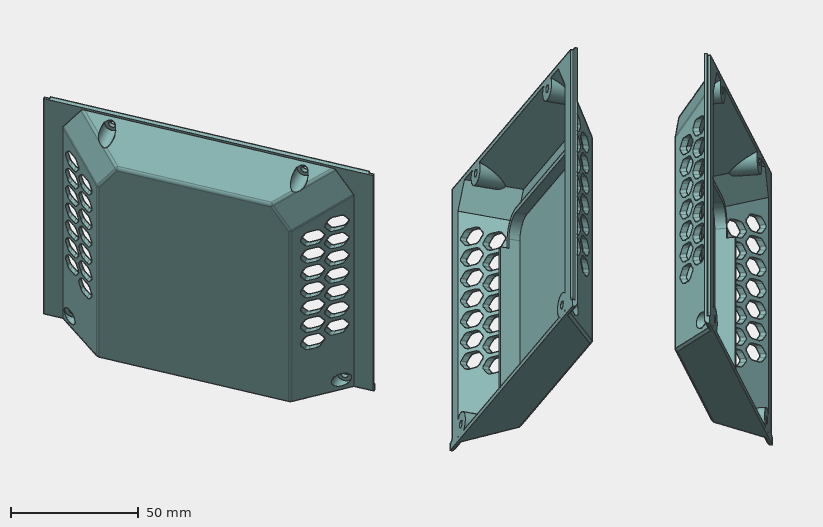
import cadquery as cq
import math

plate_width = 137.0
plate_height = 113.0
plate_thickness = 2.0
plate_face_y = -plate_thickness

total_depth = 19.0
side_base_x = 60.5
side_angle = 39.8
top_base_z = 112.0
top_angle = 57.5
corner_base_z = 100.6
corner_turn = 35.0
corner_angle = 36.4
wall = 2.0
edge_radius = 2.0
bottom_chamfer = 1.0

rabbet_width = 2.2
rabbet_depth = 1.0
rabbet_bottom_z = 3.0
rabbet_radius = 2.0

hexagon_ratio = math.cos(math.pi / 6)
vent_flats = 7.2
vent_corner_radius = 1.6
vent_pitch = 9.0
vents_per_column = 7
outer_column_x = 55.0
outer_column_bottom_z = 34.0
column_spacing = vent_pitch * hexagon_ratio

screw_spots = [(40.0, 108.0), (56.5, 6.0)]
screw_diameter = 3.0
head_diameter = 6.4
boss_diameter = 10.0

rib_half_width = 38.0
rib_top_z = 89.5
rib_corner_radius = 10.0
rib_thickness = 2.0
rib_edge_y = -12.4
leg_edge_y = -9.0
leg_top_z = 75.5

tolerance = 0.01


def box(x_range, y_range, z_range):
    """Box between pairs of limits along each axis."""
    size = [high - low for low, high in (x_range, y_range, z_range)]
    start = (x_range[0], y_range[0], z_range[0])
    return cq.Workplane("XY").box(*size, centered=False).translate(start)


def prism_y(outline, y_from, y_to):
    """Extrude a closed outline drawn on the XZ plane between two depths."""
    return outline.extrude(y_from - y_to).translate((0, y_from, 0))


def cut_beyond(body, point, turn, slope, inset):
    """Remove what lies outside a leaning plane.

    The plane passes through `point`, faces `turn` degrees up from +X and makes
    `slope` degrees with the front wall. It is shifted inwards by `inset`.
    """
    turn = math.radians(turn)
    slope = math.radians(slope)
    normal = cq.Vector(
        math.sin(slope) * math.cos(turn), -math.cos(slope), math.sin(slope) * math.sin(turn)
    )
    origin = cq.Vector(*point) - normal * inset
    along = cq.Vector(-math.sin(turn), 0, math.cos(turn))
    reach = 2 * plate_width
    cutter = cq.Workplane(cq.Plane(origin, along, normal)).rect(reach, reach).extrude(reach)
    return body.cut(cutter)


def hood_block(inset, back_y):
    """Solid bounded by the hood faces, all moved inwards by `inset`."""
    block = box(
        (-plate_width / 2, plate_width / 2), (inset - total_depth, back_y), (inset, plate_height)
    )
    block = cut_beyond(block, (0, plate_face_y, top_base_z), 90, top_angle, inset)
    for side in (1, -1):
        face_turn = 0 if side > 0 else 180
        facet_turn = corner_turn if side > 0 else 180 - corner_turn
        base_x = side * side_base_x
        block = cut_beyond(block, (base_x, plate_face_y, 0), face_turn, side_angle, inset)
        block = cut_beyond(
            block, (base_x, plate_face_y, corner_base_z), facet_turn, corner_angle, inset
        )
    return block


def outer_hood():
    """Hood block with its outer edges rounded, except along the base and bottom."""
    block = hood_block(0, plate_face_y)
    kept_sharp = block.faces(">Y or <Z").edges().vals()
    edges = [e for e in block.edges().vals() if not any(e.isSame(k) for k in kept_sharp)]
    return block.newObject(edges).fillet(edge_radius)


def plate():
    """Flat plate with a rabbet along each long edge of its back."""
    body = box(
        (-plate_width / 2, plate_width / 2), (plate_face_y, 0), (0, plate_height)
    )
    for side in (-1, 1):
        edge_x = side * plate_width / 2
        inner_x = edge_x - side * rabbet_width
        rabbet = box(
            sorted((edge_x, inner_x)), (-rabbet_depth, 0), (rabbet_bottom_z, plate_height)
        )
        inner_corner = rabbet.faces("<Z").edges("<X" if side > 0 else ">X")
        body = body.cut(inner_corner.fillet(rabbet_radius))
    return body


def chamfer_bottom(body):
    """Bevel the whole front outline of the flat bottom face."""
    edges = [
        e
        for e in body.faces("<Z").edges().vals()
        if e.Center().y < plate_face_y + tolerance
    ]
    return body.newObject(edges).chamfer(bottom_chamfer)


def vents():
    """Cutters for the hexagonal vents on both sides."""
    corner_diameter = vent_flats / hexagon_ratio
    columns = [
        (outer_column_x, outer_column_bottom_z),
        (outer_column_x - column_spacing, outer_column_bottom_z - vent_pitch / 2),
    ]
    spots = [
        (side * x, bottom_z + row * vent_pitch)
        for side in (-1, 1)
        for x, bottom_z in columns
        for row in range(vents_per_column)
    ]
    outline = cq.Workplane("XZ").pushPoints(spots).polygon(6, corner_diameter)
    return prism_y(outline, 0, -total_depth).edges("|Y").fillet(vent_corner_radius)


def screw_cylinders(diameter, y_from, y_to):
    """Cylinders along Y at all four screw positions."""
    spots = [(side * x, z) for side in (-1, 1) for x, z in screw_spots]
    outline = cq.Workplane("XZ").pushPoints(spots).circle(diameter / 2)
    return prism_y(outline, y_from, y_to)


def arch(inset):
    """Block with rounded upper corners standing on the bottom wall."""
    half = rib_half_width - inset
    block = box((-half, half), (-total_depth, leg_edge_y), (0, rib_top_z - inset))
    return block.edges("|Y and >Z").fillet(rib_corner_radius - inset)


def rib():
    """Thin arch, cut back above the legs."""
    ring = arch(0).cut(arch(rib_thickness))
    relief = box(
        (-rib_half_width, rib_half_width), (rib_edge_y, leg_edge_y), (leg_top_z, rib_top_z)
    )
    return ring.cut(relief)


envelope = chamfer_bottom(plate().union(outer_hood()))
inside = rib().union(screw_cylinders(boss_diameter, 0, -total_depth)).intersect(envelope)
shell = envelope.cut(hood_block(wall, 0))
result = (
    shell.union(inside)
    .cut(vents())
    .cut(screw_cylinders(screw_diameter, 0, -total_depth))
    .cut(screw_cylinders(head_diameter, plate_face_y, -total_depth))
)